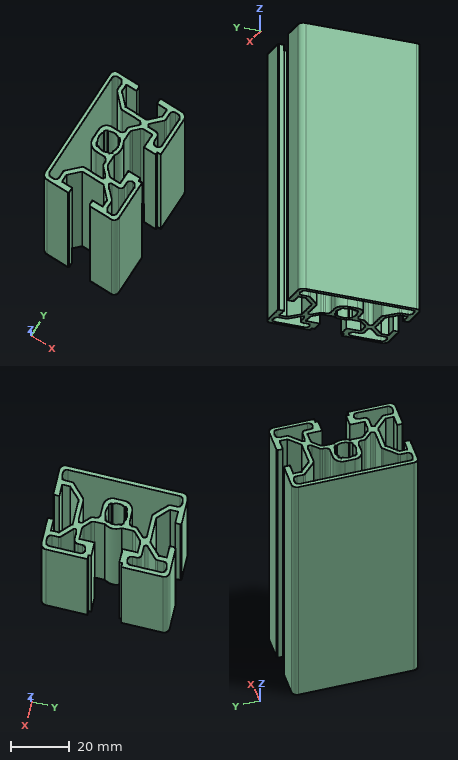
import cadquery as cq
import math

length = 100.0
half_width = 15.0
half_depth = 22.5
corner_radius = 2.0

side_wall = 1.4
end_wall = 1.5
web = 1.6
rib = 1.4
cavity_end_radius = 1.4
web_bend_radius = 1.1
rib_tip_radius = 0.9

end_slot_half_opening = 4.1
end_slot_lip = 2.2
end_slot_half_width = 8.2
end_slot_shoulder = 17.5
end_slot_floor = 13.6
lip_chamfer = 0.4

side_slot_half_opening = 4.9
side_slot_step_depth = 1.4
side_slot_step_height = 1.0
side_slot_lip_inner = 8.8
side_slot_half_width = 10.2
side_slot_bend_x = 4.7
side_slot_floor = 1.8
side_slot_bend_radius = 1.5

pocket_inner_x = 10.6
pocket_bottom = 7.4
pocket_end_radius = 1.4
pocket_bend_radius = 1.5
pocket_tip_radius = 0.7

core_x = -2.5
core_half_size = 5.1
core_corner_radius = 3.3
core_neck_radius = 1.5
core_bulge_radius = 5.2
bore_radius = 3.7
bore_notch_reach = 4.1
bore_notch_tip_width = 1.1
bore_notch_base_reach = 3.4
bore_notch_base_width = 1.7
bore_notch_angles = (45, 135, 225, 315)

bend_angle = 45
turn = math.tan(math.radians(bend_angle / 2))


def rounded_prism(corners):
    """Extrude a closed outline of (x, y, radius) corners, each rounded by a tangent arc."""
    path = None
    count = len(corners)
    for i, (x, y, radius) in enumerate(corners):
        ends = []
        for near in (corners[i - 1], corners[(i + 1) % count]):
            span = math.hypot(near[0] - x, near[1] - y)
            ends.append(((near[0] - x) / span, (near[1] - y) / span))
        (ax, ay), (bx, by) = ends
        half_angle = math.acos(ax * bx + ay * by) / 2
        setback = radius / math.tan(half_angle)
        start = (x + ax * setback, y + ay * setback)
        path = path.lineTo(*start) if path else cq.Workplane("XY").moveTo(*start)
        if radius > 0:
            to_middle = (radius / math.sin(half_angle) - radius) / (2 * math.cos(half_angle))
            middle = (x + (ax + bx) * to_middle, y + (ay + by) * to_middle)
            end = (x + bx * setback, y + by * setback)
            path = path.threePointArc(middle, end)
    return path.close().extrude(length)


def mirrored_y(half):
    """Complete a half outline (y >= 0) with its reflection in the X axis."""
    return half + [(x, -y, radius) for x, y, radius in reversed(half)]


def mirrored_x(half):
    """Complete a half outline (x >= 0) with its reflection in the Y axis."""
    return half + [(-x, y, radius) for x, y, radius in reversed(half)]


slot_floor_half = end_slot_half_width - (end_slot_shoulder - end_slot_floor)
web_outer_x = end_slot_half_width + web
web_outer_shoulder = end_slot_shoulder - web * turn
web_bottom = end_slot_floor - web
web_bottom_x = web_outer_x - (web_outer_shoulder - web_bottom)


def end_slot():
    top = half_depth
    lip_bottom = half_depth - end_slot_lip
    return rounded_prism(mirrored_x([
        (end_slot_half_opening + lip_chamfer, top, 0),
        (end_slot_half_opening, top - lip_chamfer, 0),
        (end_slot_half_opening, lip_bottom, 0),
        (end_slot_half_width, lip_bottom, 0),
        (end_slot_half_width, end_slot_shoulder, 0),
        (slot_floor_half, end_slot_floor, 0),
    ]))


def side_slot():
    step_x = half_width - side_slot_step_depth
    bend_y = side_slot_half_width - (side_slot_bend_x - side_slot_floor)
    return rounded_prism(mirrored_y([
        (half_width, side_slot_half_opening + side_slot_step_height, 0),
        (step_x, side_slot_half_opening + side_slot_step_height, 0),
        (step_x, side_slot_half_opening, 0),
        (side_slot_lip_inner, side_slot_half_opening, 0),
        (side_slot_lip_inner, side_slot_half_width, 0),
        (side_slot_bend_x, side_slot_half_width, side_slot_bend_radius),
        (side_slot_floor, bend_y, side_slot_bend_radius),
    ]))


def corner_cavity():
    right = half_width - side_wall
    top = half_depth - end_wall
    ledge = side_slot_half_width + web
    tip_x = web_outer_x - (web_outer_shoulder - ledge)
    return rounded_prism([
        (right, top, cavity_end_radius),
        (web_outer_x, top, cavity_end_radius),
        (web_outer_x, web_outer_shoulder, web_bend_radius),
        (tip_x, ledge, pocket_tip_radius),
        (pocket_inner_x, ledge, pocket_bend_radius),
        (pocket_inner_x, pocket_bottom, pocket_end_radius),
        (right, pocket_bottom, pocket_end_radius),
    ])


def main_cavity():
    """Space between the -X wall and the webs, running around the core tube."""
    left = half_width - side_wall
    top = half_depth - end_wall
    neck_x = side_slot_floor - rib
    rib_bend_y = side_slot_half_width - (side_slot_bend_x - side_slot_floor) + rib * turn
    rib_top_x = neck_x + web_bottom - rib_bend_y
    return rounded_prism(mirrored_y([
        (-left, top, cavity_end_radius),
        (-web_outer_x, top, cavity_end_radius),
        (-web_outer_x, web_outer_shoulder, web_bend_radius),
        (-web_bottom_x, web_bottom, web_bend_radius),
        (rib_top_x, web_bottom, rib_tip_radius),
        (neck_x, rib_bend_y, web_bend_radius),
        (neck_x, core_half_size, core_neck_radius),
        (core_x - core_half_size, core_half_size, core_corner_radius),
    ]))


def core_bulge():
    """Round wall of the core tube standing out of the side slot floor."""
    return cq.Workplane("XY").center(core_x, 0).circle(core_bulge_radius).extrude(length)


def bore():
    """Round core bore with four tapered notches on its diagonals."""
    tip = bore_notch_tip_width / 2
    base = bore_notch_base_width / 2
    notch = rounded_prism([
        (0, -base, 0),
        (bore_notch_base_reach, -base, 0),
        (bore_notch_reach, -tip, 0),
        (bore_notch_reach, tip, 0),
        (bore_notch_base_reach, base, 0),
        (0, base, 0),
    ])
    hole = cq.Workplane("XY").circle(bore_radius).extrude(length)
    for angle in bore_notch_angles:
        hole = hole.union(notch.rotate((0, 0, 0), (0, 0, 1), angle))
    return hole.translate((core_x, 0, 0))


body = cq.Workplane("XY").rect(2 * half_width, 2 * half_depth).extrude(length)
body = body.edges("|Z").fillet(corner_radius)
body = body.cut(side_slot().cut(core_bulge()))
body = body.cut(main_cavity())
for end_feature in (end_slot(), corner_cavity()):
    body = body.cut(end_feature).cut(end_feature.mirror("XZ"))

result = body.cut(bore())